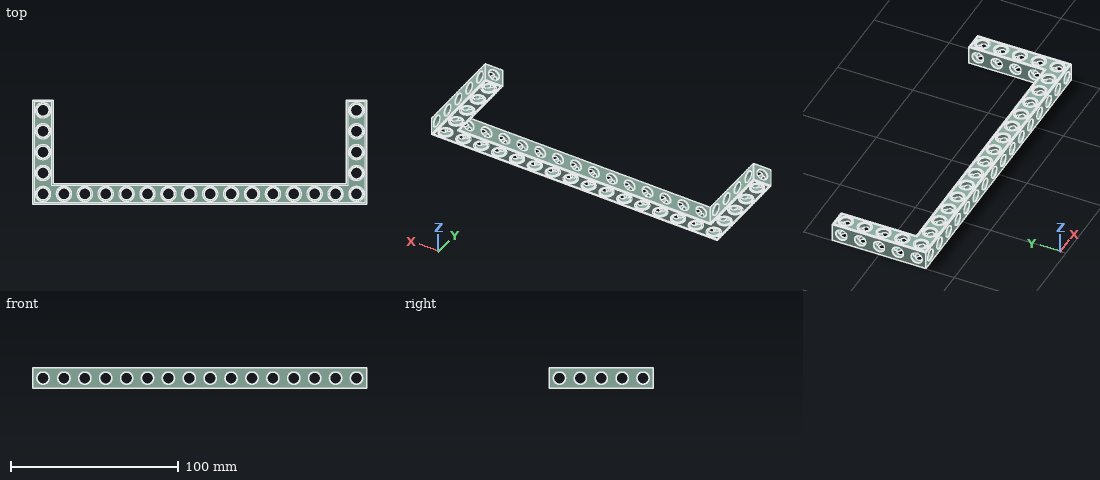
import cadquery as cq

length = 200.0
base_holes = 16
arm_holes = 5
hole_diameter = 7.0
rim_diameter = 9.2
chamfer = 0.3
recess_depth = 0.2

pitch = length / base_holes
depth = arm_holes * pitch
half_pitch = pitch / 2
border_width = (rim_diameter - hole_diameter) / 2

x_axis = cq.Vector(1, 0, 0)
y_axis = cq.Vector(0, 1, 0)
z_axis = cq.Vector(0, 0, 1)


def hole_center(index):
    """Distance of a hole axis from the origin corner along a beam."""
    return half_pitch + index * pitch


arm_columns = (0, base_holes - 1)
arm_rows = range(1, arm_holes)
vertical_hole_centers = [(hole_center(column), half_pitch) for column in range(base_holes)]
vertical_hole_centers += [
    (hole_center(column), hole_center(row)) for column in arm_columns for row in arm_rows
]


def u_prism(inset, bottom, height):
    """U-shaped prism whose outline is moved inwards from the outside of the frame."""
    outline = [
        (inset, inset),
        (length - inset, inset),
        (length - inset, depth - inset),
        (length - pitch + inset, depth - inset),
        (length - pitch + inset, pitch - inset),
        (pitch - inset, pitch - inset),
        (pitch - inset, depth - inset),
        (inset, depth - inset),
    ]
    return cq.Workplane("XY", origin=(0, 0, bottom)).polyline(outline).close().extrude(height)


def recessed_panel(bottom):
    """Shallow volume inside the border, leaving a round rim at each vertical hole."""
    rims = (
        cq.Workplane("XY", origin=(0, 0, bottom))
        .pushPoints(vertical_hole_centers)
        .circle(rim_diameter / 2)
        .extrude(recess_depth)
    )
    return u_prism(border_width, bottom, recess_depth).cut(rims)


def through_hole(start, axis, span):
    """Cutter for a hole with a chamfered mouth on the entry face and on the exit face."""
    radius = hole_diameter / 2
    mouth_radius = radius + chamfer
    start = cq.Vector(*start)
    bore = cq.Solid.makeCylinder(radius, span, start, axis)
    entry = cq.Solid.makeCone(mouth_radius, radius, chamfer, start, axis)
    exit_start = start + axis * (span - chamfer)
    exit_mouth = cq.Solid.makeCone(radius, mouth_radius, chamfer, exit_start, axis)
    return [bore, entry, exit_mouth]


def vertical_holes():
    cutters = []
    for x, y in vertical_hole_centers:
        cutters += through_hole((x, y, 0), z_axis, pitch)
    return cutters


def holes_along_y():
    """Holes through the base; those below the arms run on through the arm ends."""
    cutters = []
    for column in range(base_holes):
        span = depth if column in arm_columns else pitch
        cutters += through_hole((hole_center(column), 0, half_pitch), y_axis, span)
    return cutters


def holes_along_x():
    """One hole along the whole base, and a row of holes through each arm."""
    cutters = through_hole((0, half_pitch, half_pitch), x_axis, length)
    for row in arm_rows:
        for column in arm_columns:
            start = (column * pitch, hole_center(row), half_pitch)
            cutters += through_hole(start, x_axis, pitch)
    return cutters


frame = u_prism(0, 0, pitch).edges().chamfer(chamfer)
for panel_bottom in (0, pitch - recess_depth):
    frame = frame.cut(recessed_panel(panel_bottom))

drilled = frame.val().cut(*vertical_holes(), *holes_along_y(), *holes_along_x())
result = cq.Workplane(drilled.Solids()[0])